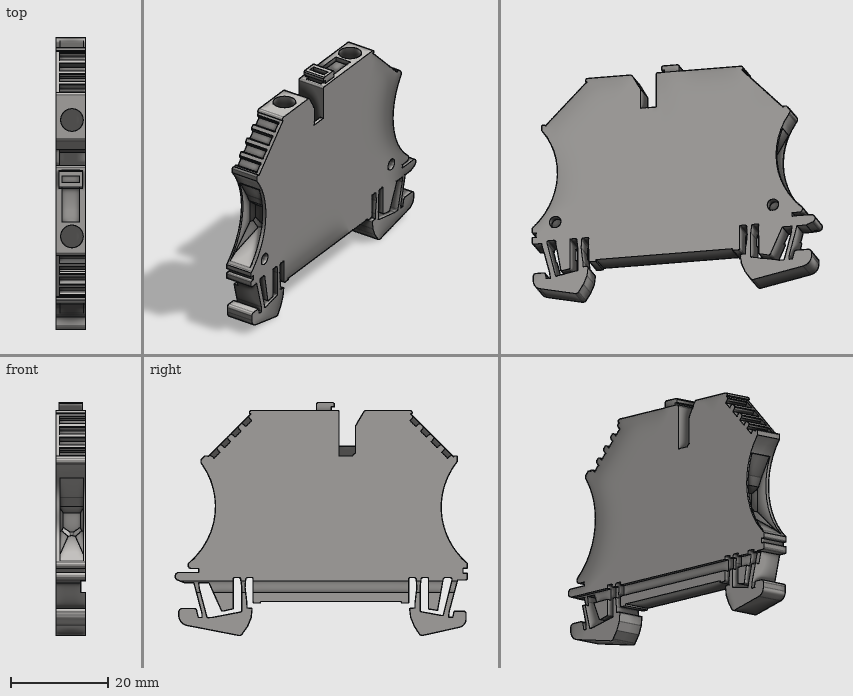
import cadquery as cq
import math


thickness = 6.1
length = 60.0
top_z = 46.25
slider_top_z = 47.85
cover_wall = 0.75
rail_y = 2.0
rail_half_width = 16.0

front_y = -length / 2
back_y = length / 2
rail_front_y = rail_y - rail_half_width
rail_back_y = rail_y + rail_half_width

hollow_radius = 15.0
hollow_z = 26.5
front_hollow_y = -21.75
back_hollow_y = 24.55
hollow_lower_angle = 49.0
front_hollow_upper_angle = 35.0
back_hollow_upper_angle = 38.0
mirror_y = (front_hollow_y + back_hollow_y) / 2

shoulder_top_z = 45.5
front_shoulder_y = -14.45
back_shoulder_y = 18.4
shoulder_height = 8.75
shoulder_lip = 0.3
shoulder_lip_gap = 0.15
shoulder_lip_round = 0.55

notch_front_y = 3.7
notch_back_y = 7.0
notch_floor_z = 38.9
notch_inner_depth = 2.0
notch_corner = 0.6

nose_radius = 0.84
nose_angle = math.radians(21.5)
nose_overshoot = nose_radius / math.tan(nose_angle / 2) - nose_radius

slot_top_z = 11.9
foot_tip_z = -0.07


def corner_arc(before, corner, after, radius):
    """Start, middle and end of the arc that rounds a corner with the given radius."""
    ends = []
    for end in (before, after):
        dy, dz = end[0] - corner[0], end[1] - corner[1]
        size = math.hypot(dy, dz)
        ends.append((dy / size, dz / size))
    (ay, az), (by, bz) = ends
    half_angle = math.acos(ay * by + az * bz) / 2
    setback = radius / math.tan(half_angle)
    to_middle = radius / math.sin(half_angle) - radius
    my, mz = ay + by, az + bz
    size = math.hypot(my, mz)
    start = (corner[0] + ay * setback, corner[1] + az * setback)
    middle = (corner[0] + my / size * to_middle, corner[1] + mz / size * to_middle)
    end = (corner[0] + by * setback, corner[1] + bz * setback)
    return start, middle, end


def plate(corners, x_start, x_end):
    """Prism along X over an outline of (y, z) or (y, z, rounding radius) corners."""
    outline = cq.Workplane("YZ", origin=(x_start, 0, 0))
    for index, corner in enumerate(corners):
        if len(corner) == 3:
            before = corners[index - 1]
            after = corners[(index + 1) % len(corners)]
            start, middle, end = corner_arc(before, corner, after, corner[2])
        else:
            start, middle, end = corner, None, corner
        outline = outline.moveTo(*start) if index == 0 else outline.lineTo(*start)
        if middle:
            outline = outline.threePointArc(middle, end)
    return outline.close().extrude(x_end - x_start)


def box(x_range, y_range, z_range):
    """Block between the given limits."""
    sizes = [high - low for low, high in (x_range, y_range, z_range)]
    corner = (x_range[0], y_range[0], z_range[0])
    return cq.Workplane("XY", origin=corner).box(*sizes, centered=False)


def hollow_corner(deepest_y, side, upper_angle):
    """Corner where the end tangents of a finger hollow meet; side is -1 at the front, +1 at the back."""
    half_sweep = math.radians((upper_angle + hollow_lower_angle) / 2)
    direction = math.radians((upper_angle - hollow_lower_angle) / 2)
    reach = hollow_radius / math.cos(half_sweep)
    center_y = deepest_y + side * hollow_radius
    return (
        center_y - side * reach * math.cos(direction),
        hollow_z + reach * math.sin(direction),
        hollow_radius,
    )


top_edge = [
    (8.9, top_z, 0.7),
    (notch_back_y, 43.0),
    (notch_back_y, notch_floor_z),
    (notch_front_y, notch_floor_z),
    (notch_front_y, top_z, 0.35),
]

front_end = [
    (front_shoulder_y - shoulder_lip, top_z, shoulder_lip_round),
    (front_shoulder_y - shoulder_lip, shoulder_top_z + shoulder_lip_gap),
    (front_shoulder_y, shoulder_top_z),
    (front_shoulder_y - shoulder_height, shoulder_top_z - shoulder_height),
    (-23.35, 36.9),
    (-23.9, 36.9),
    (-24.95, 35.85, 0.8),
    hollow_corner(front_hollow_y, -1, front_hollow_upper_angle),
    (-28.5, 13.75, 0.7),
    (-25.15, 13.75),
    (-25.15, 13.0),
    (front_y - nose_overshoot, 13.0, nose_radius),
    (-28.1, 10.85),
]

front_foot = [
    (-26.15, 10.85),
    (-24.5, 4.6),
    (-24.5, 3.75),
    (-25.2, 3.75),
    (-25.65, 5.6, 0.6),
    (-29.25, 5.6, 0.8),
    (-29.25, 2.4, 2.2),
    (-16.5, foot_tip_z, 0.7),
    (-15.1, 1.9),
    (-14.35, 3.7),
    (-14.15, 5.6, 0.2),
    (-15.2, 5.7),
    (-15.25, 6.9),
    (-15.6, 9.8),
    (-15.45, slot_top_z, 0.4),
    (rail_front_y, slot_top_z, 0.2),
]

underside = [
    (rail_front_y, 6.65, 0.3),
    (rail_front_y + 1.5, 6.65),
    (rail_front_y + 1.6, 7.0),
    (rail_back_y - 1.6, 7.0),
    (rail_back_y - 1.5, 6.65),
    (rail_back_y, 6.65, 0.3),
]

back_foot = [
    (rail_back_y, slot_top_z, 0.2),
    (19.45, slot_top_z, 0.4),
    (19.6, 9.8),
    (19.25, 6.9),
    (19.2, 5.7),
    (18.1, 5.6, 0.2),
    (18.35, 3.7),
    (19.1, 1.9),
    (20.4, foot_tip_z, 0.7),
    (29.75, 2.0, 1.8),
    (29.75, 5.05, 0.6),
    (27.25, 5.05, 0.3),
    (27.0, 3.8),
    (26.15, 3.8),
    (26.3, 5.0),
]

back_end = [
    (28.0, 11.4),
    (back_y, 11.4, 0.4),
    (back_y, 12.85, 0.2),
    (29.15, 12.85),
    (29.15, 13.8),
    (back_y, 13.8, 0.2),
    (back_y, 14.85),
    hollow_corner(back_hollow_y, 1, back_hollow_upper_angle),
    (27.95, 35.75),
    (27.95, 36.9, 0.2),
    (27.3, 36.9),
    (back_shoulder_y + shoulder_height, shoulder_top_z - shoulder_height),
    (back_shoulder_y, shoulder_top_z),
    (back_shoulder_y + shoulder_lip, shoulder_top_z + shoulder_lip_gap),
    (back_shoulder_y + shoulder_lip, top_z, shoulder_lip_round),
]

front_foot_slot = [
    (-18.0, slot_top_z, 0.2),
    (-18.0, 5.5, 0.2),
    (-20.4, 4.95, 0.4),
    (-23.05, 10.85),
    (-25.1, 10.85),
    (-25.0, 9.7),
    (-23.4, 3.7, 0.2),
    (-22.4, 3.75),
    (-16.35, 4.9, 0.2),
    (-16.35, 10.2),
    (-16.6, slot_top_z, 0.3),
]

back_foot_slot = [
    (22.0, slot_top_z, 0.2),
    (22.0, 5.45, 0.2),
    (23.9, 5.15, 0.2),
    (25.1, slot_top_z, 0.4),
    (26.95, slot_top_z, 0.4),
    (25.0, 4.1, 0.2),
    (20.35, 4.95, 0.2),
    (20.35, 10.2),
    (20.55, slot_top_z, 0.4),
]

housing_outline = top_edge + front_end + front_foot + underside + back_foot + back_end
housing = plate(housing_outline, 0, thickness)
for slot in (front_foot_slot, back_foot_slot):
    housing = housing.cut(plate(slot, 0, thickness))

relief_depth = 0.95
relief_bottom_z = 8.9
relief_top_z = 11.25
housing = housing.cut(
    box((thickness - relief_depth, thickness), (front_y, back_y), (relief_bottom_z, relief_top_z))
)

notch_inner_z = notch_floor_z - notch_inner_depth
notch_inner = [
    (notch_front_y, notch_floor_z),
    (notch_front_y, notch_inner_z),
    (notch_back_y - notch_corner, notch_inner_z),
    (notch_back_y, notch_inner_z + notch_corner),
    (notch_back_y, notch_floor_z),
]
housing = housing.cut(plate(notch_inner, cover_wall, thickness))

groove_count = 4
groove_pitch = 3.07
groove_mouth = 2.0
groove_depth = 1.1
groove_lead_depth = 0.55
groove_rim = 0.12
groove_draft = 18.0
groove_start = 0.7


def shoulder_grooves(shoulder_y, side):
    """Tapered grooves square to a 45 degree shoulder that falls towards side (-1 front, +1 back)."""
    unit = math.sqrt(0.5)
    taper = (groove_lead_depth - groove_rim) * math.tan(math.radians(groove_draft))

    def point(along, depth):
        return (
            shoulder_y + side * unit * (along - depth),
            shoulder_top_z - unit * (along + depth),
        )

    grooves = []
    for index in range(groove_count):
        upper = groove_start + index * groove_pitch
        lower = upper + groove_mouth
        outline = [
            point(upper - groove_rim, 0),
            point(upper, groove_rim),
            point(upper + taper, groove_lead_depth),
            point(upper + taper, groove_depth),
            point(lower - taper, groove_depth),
            point(lower - taper, groove_lead_depth),
            point(lower, groove_rim),
            point(lower + groove_rim, 0),
        ]
        grooves.append(plate(outline, cover_wall, thickness))
    return grooves


for groove in shoulder_grooves(front_shoulder_y, -1) + shoulder_grooves(back_shoulder_y, 1):
    housing = housing.cut(groove)

screw_hole_x = 3.3
screw_hole_diameter = 4.65
screw_hole_depth = 10.0
screw_hole_ys = (-10.85, 13.05)
for y in screw_hole_ys:
    housing = housing.cut(
        cq.Workplane("XY", origin=(screw_hole_x, y, top_z))
        .circle(screw_hole_diameter / 2)
        .extrude(-screw_hole_depth)
    )

side_hole_diameter = 2.4
side_hole_depth = 2.0
side_hole_z = 15.8
side_hole_ys = (-21.05, 25.1)
for y in side_hole_ys:
    housing = housing.cut(
        cq.Workplane("YZ", origin=(0, y, side_hole_z))
        .circle(side_hole_diameter / 2)
        .extrude(side_hole_depth)
    )

funnel_x = (0.8, 5.7)
funnel_back_y = -18.3
funnel_top = (-22.9, 32.35)
funnel_bend = (-20.5, 28.35)
funnel_brow = (-19.6, 26.5)
funnel_sill = (-26.8, 15.3)
funnel_floor_back_z = 20.7
funnel_floor_slope = (funnel_floor_back_z - funnel_sill[1]) / (funnel_back_y - funnel_sill[0])
throat_top_z = 25.2
throat_ledge = (0.3, 0.6)
throat_flare = (1.0, 0.7)
flank_side_z = 22.2
flank_foot = (6.5, 1.85)
rim_side_z = 22.7
rim_foot = (1.3, 2.9)


def tetrahedron(corners):
    """Solid with four triangular faces."""
    points = [cq.Vector(*corner) for corner in corners]
    faces = []
    for skipped in range(len(points)):
        triangle = points[:skipped] + points[skipped + 1:]
        faces.append(cq.Face.makeFromWires(cq.Wire.makePolygon(triangle, close=True)))
    return cq.Workplane(cq.Solid.makeSolid(cq.Shell.makeShell(faces)))


def funnel_flank(side_x, inward, side_z, foot):
    """Corner fill between the side, the floor and the back wall of the funnel."""
    reach, width = foot
    return tetrahedron(
        [
            (side_x, funnel_back_y, funnel_floor_back_z),
            (side_x, funnel_back_y, side_z),
            (side_x, funnel_back_y - reach, funnel_floor_back_z - reach * funnel_floor_slope),
            (side_x + inward * width, funnel_back_y, funnel_floor_back_z),
        ]
    )


def wire_funnel():
    """Opening of the front hollow, narrowing to a throat at its back wall."""
    ledge_run, ledge_rise = throat_ledge
    ledge_y = funnel_back_y - ledge_run
    funnel = plate(
        [
            (front_y, funnel_top[1]),
            funnel_top,
            funnel_bend,
            funnel_brow,
            (funnel_back_y, throat_top_z),
            (funnel_back_y, funnel_floor_back_z + ledge_rise),
            (ledge_y, funnel_floor_back_z - ledge_run * funnel_floor_slope),
            funnel_sill,
            (front_y, funnel_sill[1]),
        ],
        *funnel_x,
    )
    flare_run, flare_width = throat_flare
    for side_x, inward in zip(funnel_x, (1, -1)):
        flare = (
            cq.Workplane("XY", origin=(0, 0, funnel_sill[1]))
            .moveTo(side_x, funnel_back_y)
            .lineTo(side_x, funnel_back_y - flare_run)
            .lineTo(side_x + inward * flare_width, funnel_back_y)
            .close()
            .extrude(funnel_top[1] - funnel_sill[1])
        )
        funnel = funnel.cut(flare)
        funnel = funnel.cut(funnel_flank(side_x, inward, flank_side_z, flank_foot))
        funnel = funnel.cut(funnel_flank(side_x, inward, rim_side_z, rim_foot))
    return funnel


front_funnel = wire_funnel()
back_funnel = front_funnel.mirror("XZ", (0, mirror_y, 0))
housing = housing.cut(front_funnel).cut(back_funnel)

track_x = (1.24, 4.8)
track_y = (-7.9, 2.8)
track_depth = 1.0
track_floor_z = top_z - track_depth
housing = housing.cut(box(track_x, track_y, (track_floor_z, top_z)))

slider_x = (0.6, 5.5)
slider_front_y = -1.0
slider_neck_y = 2.1
slider_nose_y = 2.7
slider_nose_z = 46.95
slider_edge = 0.25
slot_y = (0.25, 1.55)
slot_depth = 1.0

slider_outline = [
    (slider_front_y, top_z),
    (slider_neck_y, top_z),
    (slider_neck_y, slider_nose_z),
    (slider_nose_y, slider_nose_z),
    (slider_nose_y, slider_top_z - slider_edge),
    (slider_nose_y - slider_edge, slider_top_z),
    (slider_front_y + slider_edge, slider_top_z),
    (slider_front_y, slider_top_z - slider_edge),
]
slider_foot = box(track_x, (slider_front_y, slider_neck_y), (track_floor_z, top_z))
slider_slot = box(track_x, slot_y, (slider_top_z - slot_depth, slider_top_z))
slider = plate(slider_outline, *slider_x).union(slider_foot).cut(slider_slot)

result = cq.Compound.makeCompound([housing.val(), slider.val()])